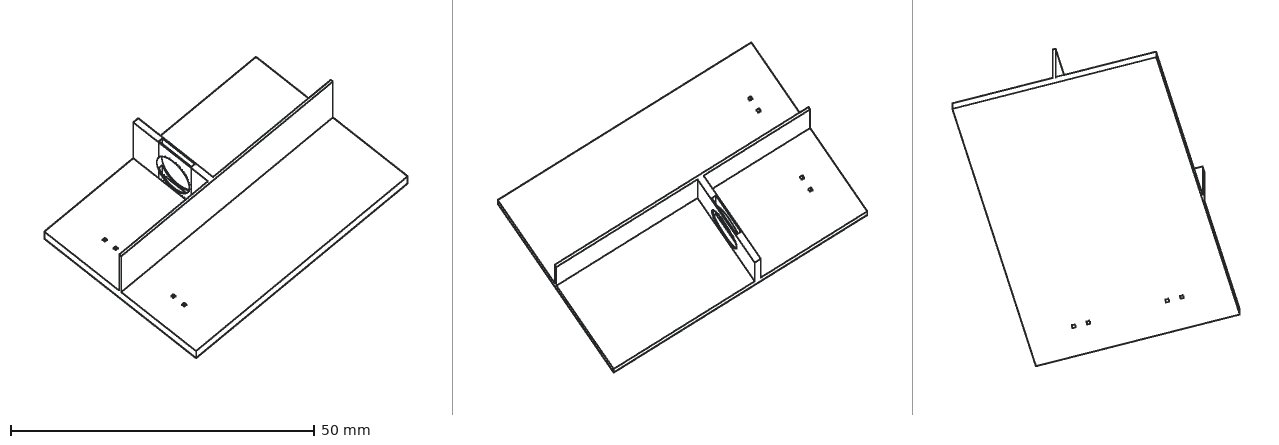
import cadquery as cq

base_width = 35.0
base_length = 50.0
base_thickness = 2.0
total_height = 12.0
wall_height = total_height - base_thickness

divider_thickness = 0.5
divider_center_x = base_width / 2

cross_wall_front_y = 21.0
cross_wall_thickness = 1.2

window_diameter = 7.5
window_center_x = 9.2
window_center_z = 6.05

pocket_width = 7.5
pocket_center_x = 9.5
pocket_skin = 0.2
pocket_depth_y = cross_wall_thickness - 2 * pocket_skin

pin_hole_side = 0.55
pin_spacing = 2.5
pin_pair_centers = [(9.55, 5.8), (25.7, 5.45)]


def make_base():
    return cq.Workplane("XY").box(base_width, base_length, base_thickness, centered=False)


def make_divider():
    left_x = divider_center_x - divider_thickness / 2
    return (
        cq.Workplane("XY")
        .box(divider_thickness, base_length, total_height, centered=False)
        .translate((left_x, 0, 0))
    )


def make_cross_wall():
    wall = (
        cq.Workplane("XY")
        .box(divider_center_x, cross_wall_thickness, total_height, centered=False)
        .translate((0, cross_wall_front_y, 0))
    )
    pocket = (
        cq.Workplane("XY")
        .box(pocket_width, pocket_depth_y, wall_height, centered=(True, False, False))
        .translate((pocket_center_x, cross_wall_front_y + pocket_skin, base_thickness))
    )
    window = (
        cq.Workplane("XZ", origin=(window_center_x, cross_wall_front_y, window_center_z))
        .circle(window_diameter / 2)
        .extrude(-cross_wall_thickness)
    )
    return wall.cut(pocket).cut(window)


def make_pin_holes():
    points = [
        (center_x + side * pin_spacing / 2, center_y)
        for center_x, center_y in pin_pair_centers
        for side in (-1, 1)
    ]
    return (
        cq.Workplane("XY")
        .pushPoints(points)
        .rect(pin_hole_side, pin_hole_side)
        .extrude(base_thickness)
    )


result = make_base().union(make_divider()).union(make_cross_wall()).cut(make_pin_holes())